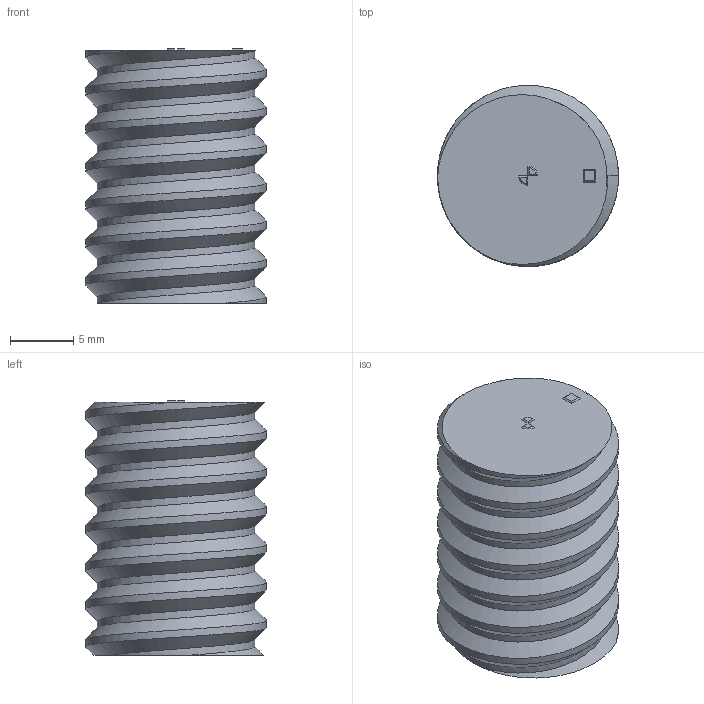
import cadquery as cq
import math

LENGTH = 20.0
MAJOR_DIAMETER = 14.3
THREAD_DEPTH = 0.92
PITCH = 3.0
CREST_WIDTH = 0.57
ROOT_WIDTH = 0.57
CREST_HEIGHT = 0.2

MARK_HEIGHT = 0.1
MARK_TAPER = 45.0
CENTRE_MARK_RADIUS = 0.75
SQUARE_SIDE = 1.0
SQUARE_OFFSET = 4.85

MAJOR_RADIUS = MAJOR_DIAMETER / 2
MINOR_RADIUS = MAJOR_RADIUS - THREAD_DEPTH
FLANK_WIDTH = (PITCH - CREST_WIDTH - ROOT_WIDTH) / 2

CUTTER_CLEARANCE = 0.1
FIRST_ROOT_HEIGHT = CREST_HEIGHT - PITCH / 2
TURN_COUNT = math.ceil((LENGTH - FIRST_ROOT_HEIGHT) / PITCH)


def groove_turn():
    """One turn of the trapezoidal groove, its root centre starting at z = 0 on +X."""
    cutter_radius = MAJOR_RADIUS + CUTTER_CLEARANCE
    half_root = ROOT_WIDTH / 2
    half_mouth = half_root + FLANK_WIDTH / THREAD_DEPTH * (cutter_radius - MINOR_RADIUS)
    helix = cq.Wire.makeHelix(PITCH, PITCH, MINOR_RADIUS)
    return (
        cq.Workplane("XZ")
        .polyline([
            (MINOR_RADIUS, -half_root),
            (cutter_radius, -half_mouth),
            (cutter_radius, half_mouth),
            (MINOR_RADIUS, half_root),
        ])
        .close()
        .sweep(cq.Workplane(obj=helix), isFrenet=True)
    )


def threaded_rod():
    rod = cq.Workplane("XY").circle(MAJOR_RADIUS).extrude(LENGTH)
    turn = groove_turn()
    for turn_number in range(TURN_COUNT):
        root_height = FIRST_ROOT_HEIGHT + turn_number * PITCH
        rod = rod.cut(turn.translate((0, 0, root_height)))
    return rod


def top_face_plane():
    return cq.Workplane("XY").workplane(offset=LENGTH)


def quarter_mark(start_angle):
    """Raised quarter disc with its corner on the axis."""
    def rim_point(degrees):
        angle = math.radians(start_angle + degrees)
        return (CENTRE_MARK_RADIUS * math.cos(angle), CENTRE_MARK_RADIUS * math.sin(angle))

    return (
        top_face_plane()
        .lineTo(*rim_point(0))
        .threePointArc(rim_point(45), rim_point(90))
        .close()
        .extrude(MARK_HEIGHT, taper=MARK_TAPER)
    )


def square_mark():
    return (
        top_face_plane()
        .center(SQUARE_OFFSET, 0)
        .rect(SQUARE_SIDE, SQUARE_SIDE)
        .extrude(MARK_HEIGHT, taper=MARK_TAPER)
    )


result = threaded_rod().union(square_mark())
for quarter_start in (0, 180):
    result = result.union(quarter_mark(quarter_start))